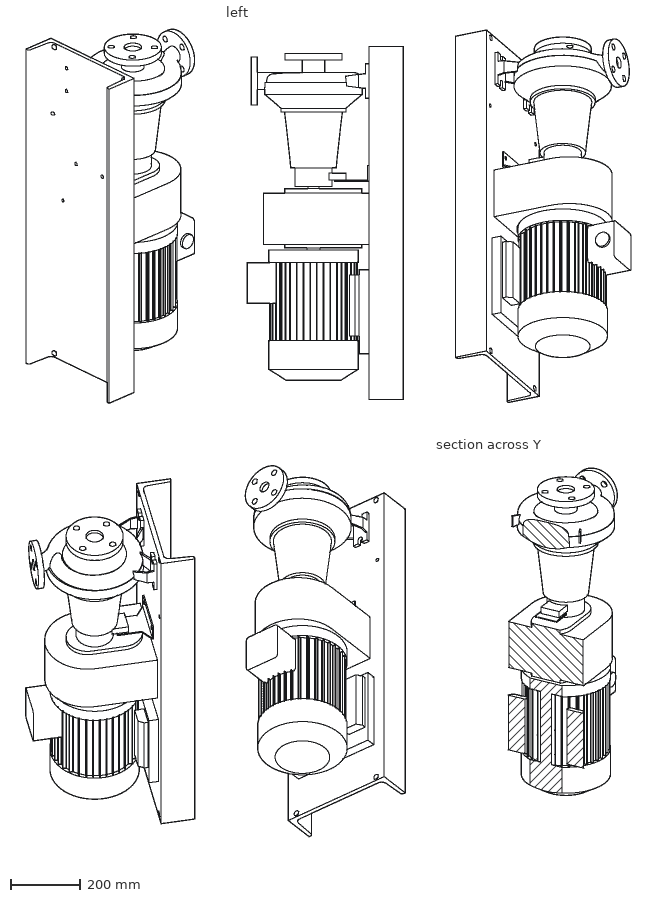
import cadquery as cq
import math


base_length = 1020.0
base_width = 350.0
base_height = 100.0
web_thickness = 14.0
flange_mean_thickness = 15.0
flange_slope = 0.05
root_radius = 16.0
toe_radius = 8.0
axis_height = 160.0
web_top = -axis_height

suction_face_z = 1000.0
discharge_z = 920.0
discharge_face_y = 180.0
suction_flange_diameter = 165.0
suction_flange_thickness = 20.0
suction_bolt_circle = 125.0
suction_bore = 50.0
discharge_flange_diameter = 140.0
discharge_flange_thickness = 18.0
discharge_bolt_circle = 100.0
discharge_bore = 32.0
flange_bolt_hole = 18.0
bore_depth = 10.0
suction_neck_radius = 33.0

volute_radius = 115.0
volute_tube_radius = 25.0
volute_start_tube_radius = 20.0
volute_start_angle = 75.0

collar_radius = 141.0
collar_top_z = 915.0
collar_bottom_z = 881.0
cover_radius = 93.0
cover_centre_z = 936.0
cover_rim_z = 930.0
cone_bottom_z = 841.0
ring_radius = 94.0
ring_bottom_z = 830.0
bearing_top_radius = 84.0
bearing_bottom_radius = 66.0
bearing_bottom_z = 669.0
bearing_end_radius = 54.0
bearing_end_z = 615.0
pump_shaft_radius = 16.0

foot_height = 100.0
foot_width = 50.0
foot_thickness = 10.0
foot_centre_x = 95.0
foot_hole_spacing = 74.0
foot_slot_width = 14.0
foot_outer_x = 120.0
rib_thickness = 5.0
rib_tip_half_height = 14.0
rib_root_half_height = 23.0
rib_tip_y = -92.0
outer_rib_tip_x = 97.0
outer_rib_bend_y = -130.0
inner_rib_tip_x = 25.0
inner_rib_tip_y = -127.0

lug_half_width = 30.0
lug_height = 20.0
lug_end_y = -94.0

bracket_width = 140.0
bracket_strip_width = 70.0
bracket_flare_y = -131.5
bracket_thickness = 4.0
bracket_top_z = 634.0
bracket_front_y = -60.0
bracket_leg_top_z = 676.0
bracket_hole_x = 55.0
bracket_hole_z = 661.0

guard_bottom_z = 447.5
guard_top_z = 596.0
guard_radius = 124.0
guard_centre_y = 21.0
guard_rim_radius = 62.0
guard_rim_length = 99.0
guard_rim_bottom_z = 438.0
guard_rim_top_z = 609.0
guard_hole_x = 110.0
guard_mid_z = (guard_bottom_z + guard_top_z) / 2

motor_axis_height = 132.0
motor_radius = 129.5
motor_top_z = 432.0
motor_ring_bottom_z = 396.0
cowl_top_z = 170.0
cowl_bottom_z = 87.0
motor_bottom_z = 55.0
cowl_end_radius = 79.0
motor_core_radius = 119.0
fin_tip_radius = 127.0
fin_thickness = 2.0
fin_pitch = 19.35
side_fin_count = 8
front_fin_count = 10
motor_shaft_radius = 19.0

box_half_width = 57.0
box_front_y = 192.0
box_rear_y = 107.0
box_top_z = 395.5
box_bottom_z = 278.0
box_corner_radius = 10.0
gland_radius = 22.0
gland_length = 8.0
gland_y = 158.0

motor_foot_bottom_z = 183.0
motor_foot_top_z = 360.0
motor_foot_outer_x = 127.0
motor_foot_shoulder_x = 115.0
motor_foot_inner_x = 68.0
motor_foot_edge_height = 12.0
motor_foot_height = 28.0

spacer_half_width = 137.0
spacer_bottom_z = 132.0
spacer_top_z = 375.0

anchor_hole = 16.0
anchor_x = 145.0
anchor_end_distance = 13.0
fixing_hole = 10.0
guard_hole = 8.0
guide_hole_x = 150.0
guide_hole_z = 790.0

cut_margin = 20.0


def cylinder(radius, z_low, z_high):
    return cq.Workplane("XY").workplane(offset=z_low).circle(radius).extrude(z_high - z_low)


def block(x_low, x_high, y_low, y_high, z_low, z_high):
    size = (x_high - x_low, y_high - y_low, z_high - z_low)
    return cq.Workplane("XY").box(*size, centered=False).translate((x_low, y_low, z_low))


def hole_along_y(x, z, diameter, y_low, y_high):
    plane = cq.Plane(origin=(x, y_low, z), xDir=(1, 0, 0), normal=(0, 1, 0))
    return cq.Workplane(plane).circle(diameter / 2).extrude(y_high - y_low)


def make_base():
    half_width = base_width / 2
    web_bottom = web_top - web_thickness
    base_bottom = web_top - base_height
    taper = flange_slope * base_height / 2
    toe_x = half_width - flange_mean_thickness + taper
    root_x = toe_x - flange_slope * (base_height - web_thickness)
    channel = (
        cq.Workplane("XY")
        .moveTo(-half_width, web_top)
        .lineTo(half_width, web_top)
        .lineTo(half_width, base_bottom)
        .lineTo(toe_x, base_bottom)
        .lineTo(root_x, web_bottom)
        .lineTo(-root_x, web_bottom)
        .lineTo(-toe_x, base_bottom)
        .lineTo(-half_width, base_bottom)
        .close()
        .extrude(base_length)
    )
    for side in (-1, 1):
        root = cq.selectors.NearestToPointSelector((side * root_x, web_bottom, base_length / 2))
        channel = channel.edges("|Z").edges(root).fillet(root_radius)
        toe = cq.selectors.NearestToPointSelector((side * toe_x, base_bottom, base_length / 2))
        channel = channel.edges("|Z").edges(toe).fillet(toe_radius)

    half_spacing = foot_hole_spacing / 2
    holes = [
        (anchor_x, anchor_end_distance, anchor_hole),
        (anchor_x, base_length - anchor_end_distance, anchor_hole),
        (foot_centre_x, discharge_z - half_spacing, fixing_hole),
        (foot_centre_x, discharge_z + half_spacing, fixing_hole),
        (guide_hole_x, guide_hole_z, fixing_hole),
        (bracket_hole_x, bracket_hole_z, fixing_hole),
        (guard_hole_x, guard_mid_z, guard_hole),
    ]
    for x, z, diameter in holes:
        for side in (-1, 1):
            drill = hole_along_y(side * x, z, diameter, web_bottom - cut_margin, web_top)
            channel = channel.cut(drill)
    return channel


def make_casing():
    """Turned outline of the suction flange, casing and bearing housing, with the pump shaft."""
    flange_radius = suction_flange_diameter / 2
    flange_back_z = suction_face_z - suction_flange_thickness
    outline = [
        (0, suction_face_z),
        (flange_radius, suction_face_z),
        (flange_radius, flange_back_z),
        (suction_neck_radius, flange_back_z),
        (suction_neck_radius, cover_centre_z),
        (cover_radius, cover_rim_z),
        (cover_radius, collar_top_z),
        (collar_radius, collar_top_z),
        (collar_radius, collar_bottom_z),
        (ring_radius, cone_bottom_z),
        (ring_radius, ring_bottom_z),
        (bearing_top_radius, ring_bottom_z),
        (bearing_bottom_radius, bearing_bottom_z),
        (bearing_end_radius, bearing_bottom_z),
        (bearing_end_radius, bearing_end_z),
        (pump_shaft_radius, bearing_end_z),
        (pump_shaft_radius, guard_rim_top_z),
        (0, guard_rim_top_z),
    ]
    return cq.Workplane("XZ").polyline(outline).close().revolve(360, (0, 0, 0), (0, 1, 0))


def volute_point(angle):
    turn = math.radians(angle)
    return cq.Vector(volute_radius * math.cos(turn), volute_radius * math.sin(turn), discharge_z)


def tube_section(centre, direction, radius):
    return cq.Wire.makeCircle(radius, centre, direction)


def arc_path(start, middle, end):
    return cq.Wire.assembleEdges([cq.Edge.makeThreePointArc(start, middle, end)])


def tube(path, start_radius, end_radius):
    """Round tube along an arc, changing evenly from one radius to the other."""
    sections = [
        tube_section(path.positionAt(0), path.tangentAt(0), start_radius),
        tube_section(path.positionAt(1), path.tangentAt(1), end_radius),
    ]
    return cq.Workplane(cq.Solid.sweep_multi(sections, path))


def make_volute():
    """Spiral tube round the casing, leaving it in a bend to the discharge flange."""
    sine = (discharge_face_y**2 - volute_radius**2) / (discharge_face_y**2 + volute_radius**2)
    bend_angle = 90 - math.degrees(math.asin(sine))
    bend_radius = volute_radius * sine / (1 - sine)

    widening = arc_path(
        volute_point(volute_start_angle),
        volute_point((volute_start_angle + 180) / 2),
        volute_point(180),
    )
    scroll = arc_path(
        volute_point(180),
        volute_point((180 + 360 + bend_angle) / 2),
        volute_point(bend_angle),
    )
    half_turn = math.radians(bend_angle / 2)
    bend_middle = cq.Vector(
        bend_radius * (1 - math.cos(half_turn)),
        discharge_face_y - bend_radius * math.sin(half_turn),
        discharge_z,
    )
    bend = arc_path(
        volute_point(bend_angle),
        bend_middle,
        cq.Vector(0, discharge_face_y, discharge_z),
    )
    return (
        tube(widening, volute_start_tube_radius, volute_tube_radius)
        .union(tube(scroll, volute_tube_radius, volute_tube_radius))
        .union(tube(bend, volute_tube_radius, volute_tube_radius))
    )


def make_pump_leg(side):
    """Foot pad with open slots, held to the casing by two tapering ribs."""
    pad_top = web_top + foot_thickness
    inner_x = foot_outer_x - foot_width
    z_low = discharge_z - foot_height / 2
    z_high = discharge_z + foot_height / 2
    leg = block(inner_x, foot_outer_x, web_top, pad_top, z_low, z_high)
    for end, edge_z in ((-1, z_low), (1, z_high)):
        slot_z = discharge_z + end * foot_hole_spacing / 2
        leg = leg.cut(hole_along_y(foot_centre_x, slot_z, foot_slot_width, web_top, pad_top))
        leg = leg.cut(
            block(
                foot_centre_x - foot_slot_width / 2,
                foot_centre_x + foot_slot_width / 2,
                web_top,
                pad_top,
                min(slot_z, edge_z),
                max(slot_z, edge_z),
            )
        )

    outer_x = foot_outer_x - rib_thickness
    outer_rib = [
        (foot_outer_x, web_top),
        (foot_outer_x, outer_rib_bend_y),
        (outer_rib_tip_x + rib_thickness, rib_tip_y),
        (outer_rib_tip_x, rib_tip_y),
        (outer_x, outer_rib_bend_y),
        (outer_x, web_top),
    ]
    inner_rib = [
        (inner_x, web_top + rib_thickness / 2),
        (inner_rib_tip_x, inner_rib_tip_y),
        (inner_rib_tip_x, inner_rib_tip_y + rib_thickness),
        (inner_x, web_top + foot_thickness),
        (inner_x + rib_thickness, web_top + rib_thickness / 2),
    ]
    taper = (
        cq.Workplane("YZ")
        .polyline([
            (web_top, discharge_z - rib_root_half_height),
            (rib_tip_y, discharge_z - rib_tip_half_height),
            (rib_tip_y, discharge_z + rib_tip_half_height),
            (web_top, discharge_z + rib_root_half_height),
        ])
        .close()
        .extrude(foot_outer_x)
    )
    for outline in (outer_rib, inner_rib):
        rib = cq.Workplane("XY").workplane(offset=z_low).polyline(outline).close().extrude(foot_height)
        leg = leg.union(rib.intersect(taper))
    return leg if side > 0 else leg.mirror("YZ")


def make_pump():
    discharge_back_y = discharge_face_y - discharge_flange_thickness
    discharge_flange = hole_along_y(
        0, discharge_z, discharge_flange_diameter, discharge_back_y, discharge_face_y
    )
    lug = block(
        -lug_half_width, lug_half_width, lug_end_y, 0, bracket_top_z, bracket_top_z + lug_height
    )
    pump = make_casing().union(make_volute()).union(discharge_flange).union(lug)
    for side in (-1, 1):
        pump = pump.union(make_pump_leg(side))

    suction_back_z = suction_face_z - suction_flange_thickness
    pump = pump.cut(cylinder(suction_bore / 2, suction_face_z - bore_depth, suction_face_z))
    pump = pump.cut(
        hole_along_y(0, discharge_z, discharge_bore, discharge_face_y - bore_depth, discharge_face_y)
    )
    suction_offset = suction_bolt_circle / 2 * math.sqrt(0.5)
    discharge_offset = discharge_bolt_circle / 2 * math.sqrt(0.5)
    for x_side in (-1, 1):
        for other_side in (-1, 1):
            suction_hole = cylinder(flange_bolt_hole / 2, suction_back_z, suction_face_z)
            pump = pump.cut(
                suction_hole.translate((x_side * suction_offset, other_side * suction_offset, 0))
            )
            discharge_hole = hole_along_y(
                x_side * discharge_offset,
                discharge_z + other_side * discharge_offset,
                flange_bolt_hole,
                discharge_back_y,
                discharge_face_y,
            )
            pump = pump.cut(discharge_hole)
    return pump


def make_bracket():
    """Narrow plate under the bearing housing lug, flaring out to a leg screwed to the web."""
    half_width = bracket_width / 2
    plate_bottom_z = bracket_top_z - bracket_thickness
    leg_face_y = web_top + bracket_thickness
    half_strip = bracket_strip_width / 2
    plate_outline = [
        (half_strip, bracket_front_y),
        (half_strip, bracket_flare_y),
        (half_width, leg_face_y),
        (-half_width, leg_face_y),
        (-half_strip, bracket_flare_y),
        (-half_strip, bracket_front_y),
    ]
    plate = (
        cq.Workplane("XY")
        .workplane(offset=plate_bottom_z)
        .polyline(plate_outline)
        .close()
        .extrude(bracket_thickness)
    )
    leg = block(-half_width, half_width, web_top, leg_face_y, plate_bottom_z, bracket_leg_top_z)
    bracket = plate.union(leg)
    for side in (-1, 1):
        drill = hole_along_y(
            side * bracket_hole_x, bracket_hole_z, fixing_hole, web_top, leg_face_y
        )
        bracket = bracket.cut(drill)
    return bracket


def make_guard():
    """Arched coupling guard standing on the web, with a rounded rim plate at each end."""
    arch_length = guard_centre_y - web_top
    guard = (
        cylinder(guard_radius, guard_bottom_z, guard_top_z)
        .union(block(-guard_radius, guard_radius, -arch_length, 0, guard_bottom_z, guard_top_z))
        .translate((0, guard_centre_y, 0))
    )
    rim_centre_y = guard_centre_y - guard_rim_length / 2
    rim = (
        cq.Workplane("XY")
        .workplane(offset=guard_rim_bottom_z)
        .center(0, rim_centre_y)
        .slot2D(guard_rim_length + 2 * guard_rim_radius, 2 * guard_rim_radius, 90)
        .extrude(guard_rim_top_z - guard_rim_bottom_z)
    )
    return guard.union(rim)


def make_fins():
    """Thin parallel cooling fins in both directions, trimmed to a common round outline."""
    half_thickness = fin_thickness / 2
    fin_ends = (cowl_top_z, motor_ring_bottom_z)
    fins = cylinder(motor_core_radius, *fin_ends)
    for number in range(side_fin_count):
        y = (number - (side_fin_count - 1) / 2) * fin_pitch
        fins = fins.union(
            block(-fin_tip_radius, fin_tip_radius, y - half_thickness, y + half_thickness, *fin_ends)
        )
    for number in range(front_fin_count):
        x = (number - (front_fin_count - 1) / 2) * fin_pitch
        fins = fins.union(
            block(x - half_thickness, x + half_thickness, -fin_tip_radius, fin_tip_radius, *fin_ends)
        )
    return fins.intersect(cylinder(fin_tip_radius, *fin_ends))


def make_motor_foot(side):
    foot_bottom = -motor_axis_height
    foot = (
        cq.Workplane("XY")
        .workplane(offset=motor_foot_bottom_z)
        .moveTo(motor_foot_inner_x, foot_bottom)
        .lineTo(motor_foot_outer_x, foot_bottom)
        .lineTo(motor_foot_outer_x, foot_bottom + motor_foot_edge_height)
        .lineTo(motor_foot_shoulder_x, foot_bottom + motor_foot_height)
        .lineTo(motor_foot_inner_x, foot_bottom + motor_foot_height)
        .close()
        .extrude(motor_foot_top_z - motor_foot_bottom_z)
    )
    return foot if side > 0 else foot.mirror("YZ")


def make_motor():
    end_cap_outline = [
        (0, cowl_top_z),
        (motor_radius, cowl_top_z),
        (motor_radius, cowl_bottom_z),
        (cowl_end_radius, motor_bottom_z),
        (0, motor_bottom_z),
    ]
    cowl = cq.Workplane("XZ").polyline(end_cap_outline).close().revolve(360, (0, 0, 0), (0, 1, 0))
    terminal_box = block(
        -box_half_width, box_half_width, box_rear_y, box_front_y, box_bottom_z, box_top_z
    ).edges("|Y").fillet(box_corner_radius)
    box_root = block(
        -box_half_width + box_corner_radius,
        box_half_width - box_corner_radius,
        0,
        box_rear_y,
        box_bottom_z,
        box_top_z,
    )
    gland = (
        cq.Workplane("YZ", origin=(box_half_width, gland_y, (box_bottom_z + box_top_z) / 2))
        .circle(gland_radius)
        .extrude(gland_length)
    )
    motor = (
        cowl.union(make_fins())
        .union(cylinder(motor_radius, motor_ring_bottom_z, motor_top_z))
        .union(cylinder(motor_shaft_radius, motor_top_z, guard_rim_bottom_z))
        .union(terminal_box)
        .union(box_root)
        .union(gland)
    )
    for side in (-1, 1):
        motor = motor.union(make_motor_foot(side))
    return motor


def make_spacer():
    return block(
        -spacer_half_width,
        spacer_half_width,
        web_top,
        -motor_axis_height,
        spacer_bottom_z,
        spacer_top_z,
    )


base = make_base()
pump = make_pump()
bracket = make_bracket()
guard = make_guard()
motor = make_motor()
spacer = make_spacer()

result = cq.Compound.makeCompound([
    base.val(),
    pump.val(),
    bracket.val(),
    guard.val(),
    motor.val(),
    spacer.val(),
])